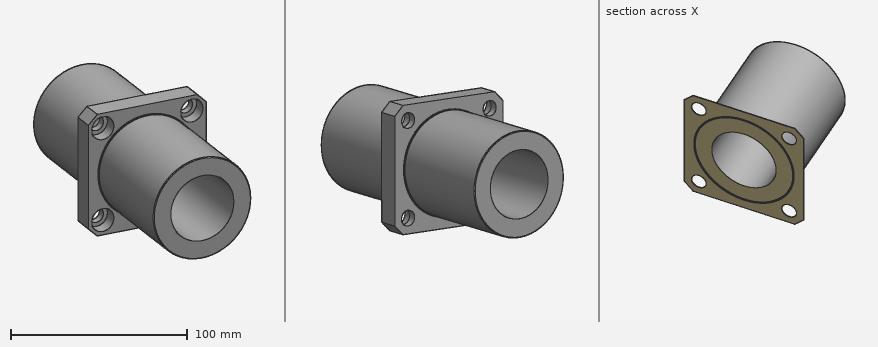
import cadquery as cq
import math

sleeve_length = 151.0
sleeve_diameter = 62.0
bore_diameter = 40.0
end_chamfer = 0.5

flange_side = 75.0
flange_thickness = 13.0
flange_across_corners = 98.0
corner_cut = flange_side - flange_across_corners / math.sqrt(2)

relief_reach = 0.3

bolt_circle_diameter = 80.0
bolt_hole_diameter = 9.0
counterbore_diameter = 14.0
counterbore_depth = 8.1

flange_back = -flange_thickness / 2
flange_front = flange_thickness / 2


def make_flange():
    """Square plate across X with its four corners cut at 45 degrees."""
    plate = cq.Workplane("YZ", origin=(flange_back, 0, 0)).rect(flange_side, flange_side)
    return plate.extrude(flange_thickness).edges("|X").chamfer(corner_cut)


def make_sleeve():
    """Solid round body with a small chamfer on both end rims."""
    body = cq.Workplane("YZ").circle(sleeve_diameter / 2).extrude(sleeve_length / 2, both=True)
    return body.faces("<X or >X").edges().chamfer(end_chamfer)


def make_bore():
    """Cylinder of the through bore, as long as the sleeve."""
    return cq.Workplane("YZ").circle(bore_diameter / 2).extrude(sleeve_length / 2, both=True)


def make_relief_groove(face_x):
    """Thin ring centred on the corner between the sleeve and the flange face at face_x."""
    sleeve_radius = sleeve_diameter / 2
    ring = (
        cq.Workplane("YZ", origin=(face_x, 0, 0))
        .circle(sleeve_radius + relief_reach)
        .circle(sleeve_radius - relief_reach)
    )
    return ring.extrude(relief_reach, both=True)


def make_bolt_cylinders(diameter, start_x):
    """Cylinders at the four bolt positions, from start_x to the +X flange face."""
    spacing = bolt_circle_diameter / math.sqrt(2)
    positions = (
        cq.Workplane("YZ", origin=(start_x, 0, 0))
        .rect(spacing, spacing, forConstruction=True)
        .vertices()
    )
    return positions.circle(diameter / 2).extrude(flange_front - start_x)


result = make_flange().union(make_sleeve()).cut(make_bore())
for flange_face in (flange_back, flange_front):
    result = result.cut(make_relief_groove(flange_face))
result = result.cut(make_bolt_cylinders(bolt_hole_diameter, flange_back))
result = result.cut(make_bolt_cylinders(counterbore_diameter, flange_front - counterbore_depth))